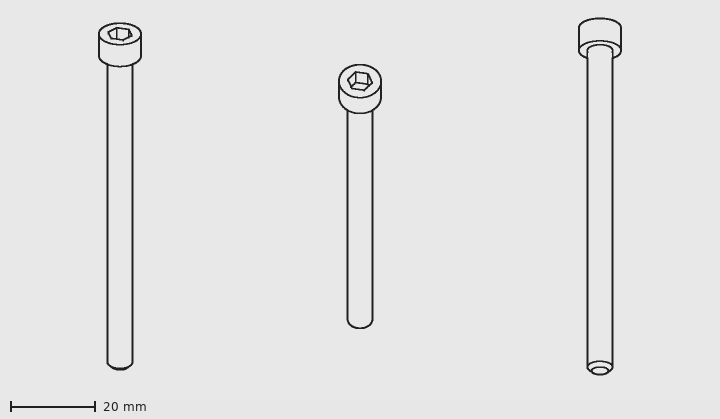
import cadquery as cq
import math

head_diameter = 10.0
head_height = 6.0
shank_diameter = 6.0
shank_length = 85.0
thread_length = 24.0
tip_chamfer = 1.0
socket_across_flats = 5.06
socket_depth = 4.0

hexagon_sides = 6
socket_across_corners = socket_across_flats / math.cos(math.pi / hexagon_sides)
thread_start_z = thread_length - shank_length


def make_head():
    return cq.Workplane("XY").circle(head_diameter / 2).extrude(head_height)


def make_plain_shank():
    return cq.Workplane("XY").circle(shank_diameter / 2).extrude(thread_start_z)


def make_threaded_end():
    """Thread simplified to a plain cylinder with a chamfered tip."""
    end = (
        cq.Workplane("XY")
        .workplane(offset=thread_start_z)
        .circle(shank_diameter / 2)
        .extrude(-thread_length)
    )
    return end.faces("<Z").chamfer(tip_chamfer)


def make_socket():
    """Hexagonal key socket with two corners in line with the X axis."""
    return (
        cq.Workplane("XY")
        .workplane(offset=head_height)
        .polygon(hexagon_sides, socket_across_corners)
        .extrude(-socket_depth)
    )


shank = make_plain_shank().union(make_threaded_end(), clean=False)
result = make_head().union(shank, clean=False).cut(make_socket(), clean=False)